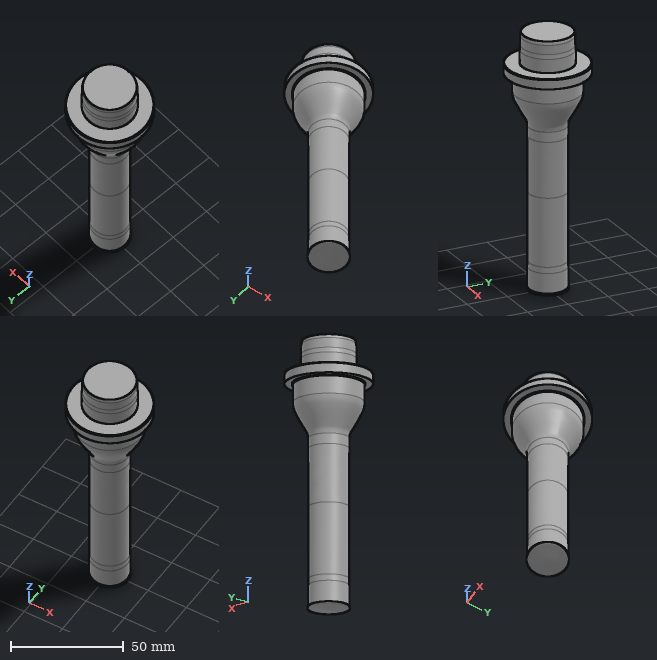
import cadquery as cq

TOTAL_HEIGHT = 124.0
TIP_RIM = 0.4
BEAD_MIDDLE = 1.0
BEAD_TOP = 1.5
LOWER_TAPER_BOTTOM = 11.2
LOWER_TAPER_TOP = 14.1
UPPER_TAPER_BOTTOM = 47.4
UPPER_TAPER_TOP = 74.3
STEM_TOP = 79.1
SHOULDER_BOTTOM = 95.6
FLARE_LOWER = 84.6
FLARE_UPPER = 89.8
COLLAR_BOTTOM = 104.2
COLLAR_THICKNESS = 4.8
PLUG_TAPER_BOTTOM = 115.6
PLUG_TAPER_TOP = 117.8
PLUG_CHAMFER_HEIGHT = 1.7

TIP_RIM_RADIUS = 8.3
BEAD_RADIUS = 9.5
STEM_RADIUS = 18.5 / 2
WAIST_RADIUS = 18.4 / 2
FLARE_LOWER_RADIUS = 11.4
FLARE_UPPER_RADIUS = 14.3
SHOULDER_RADIUS = 32.0 / 2
COLLAR_RADIUS = 39.5 / 2
PLUG_RADIUS = 25.0 / 2
PLUG_END_RADIUS = 24.7 / 2
PLUG_CHAMFER_WIDTH = 0.4

COLLAR_CHAMFER = 0.4
SHOULDER_LIP = 0.4

OUTWARD = (1, 0)
UPWARD = (0, 1)


def make_shaft():
    """Revolved shaft: crowned and beaded tip, waisted stem, flared shoulder and stepped plug."""
    profile = (
        cq.Workplane("XZ")
        .moveTo(0, 0)
        .spline(
            [(TIP_RIM_RADIUS, TIP_RIM), (BEAD_RADIUS, BEAD_MIDDLE)],
            tangents=[OUTWARD, UPWARD],
            includeCurrent=True,
        )
        .tangentArcPoint((STEM_RADIUS, BEAD_TOP), relative=False)
        .lineTo(STEM_RADIUS, LOWER_TAPER_BOTTOM)
        .lineTo(WAIST_RADIUS, LOWER_TAPER_TOP)
        .lineTo(WAIST_RADIUS, UPPER_TAPER_BOTTOM)
        .lineTo(STEM_RADIUS, UPPER_TAPER_TOP)
        .lineTo(STEM_RADIUS, STEM_TOP)
        .spline(
            [
                (FLARE_LOWER_RADIUS, FLARE_LOWER),
                (FLARE_UPPER_RADIUS, FLARE_UPPER),
                (SHOULDER_RADIUS, SHOULDER_BOTTOM),
            ],
            tangents=[UPWARD, UPWARD],
            includeCurrent=True,
        )
        .lineTo(SHOULDER_RADIUS, COLLAR_BOTTOM - SHOULDER_LIP)
        .lineTo(SHOULDER_RADIUS + SHOULDER_LIP, COLLAR_BOTTOM)
        .lineTo(PLUG_RADIUS, COLLAR_BOTTOM)
        .lineTo(PLUG_RADIUS, PLUG_TAPER_BOTTOM)
        .lineTo(PLUG_END_RADIUS, PLUG_TAPER_TOP)
        .lineTo(PLUG_END_RADIUS, TOTAL_HEIGHT - PLUG_CHAMFER_HEIGHT)
        .lineTo(PLUG_END_RADIUS - PLUG_CHAMFER_WIDTH, TOTAL_HEIGHT)
        .lineTo(0, TOTAL_HEIGHT)
        .close()
    )
    return profile.revolve(360, (0, 0, 0), (0, 1, 0))


def make_collar():
    """Ring seated on the shoulder, bored to fit the plug."""
    disc = (
        cq.Workplane("XY", origin=(0, 0, COLLAR_BOTTOM))
        .circle(COLLAR_RADIUS)
        .extrude(COLLAR_THICKNESS)
        .faces(">Z")
        .chamfer(COLLAR_CHAMFER)
    )
    bore = (
        cq.Workplane("XY", origin=(0, 0, COLLAR_BOTTOM))
        .circle(PLUG_RADIUS)
        .extrude(COLLAR_THICKNESS)
    )
    return disc.cut(bore)


shaft = make_shaft()
collar = make_collar()

result = cq.Compound.makeCompound([shaft.val(), collar.val()])